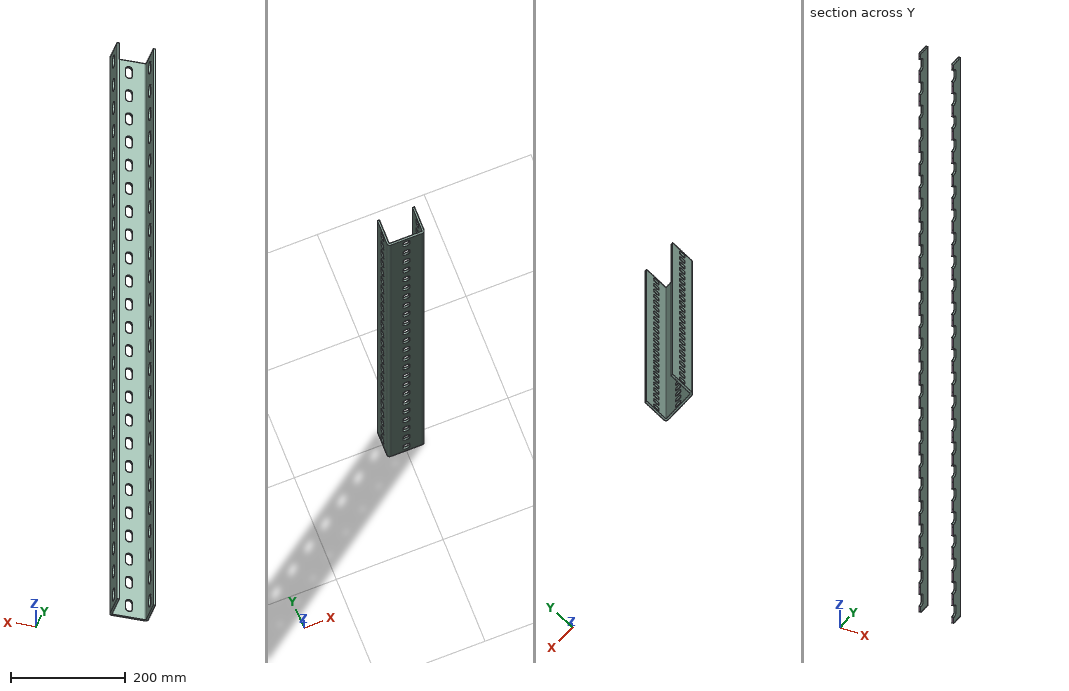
import cadquery as cq

length = 1200
width = 70.0
depth = 50.0
thickness = 4.0
inner_bend_radius = 1.5
outer_bend_radius = inner_bend_radius + thickness

slot_count = 24
slot_pitch = length / slot_count
slot_length = slot_pitch / 2
slot_width = slot_length / 2
flange_slot_y = thickness / 2


def channel():
    """Bent sheet channel, centred on the origin."""
    outer = cq.Workplane("XY").box(width, depth, length).edges("|Z and <Y").fillet(outer_bend_radius)
    inner = (
        cq.Workplane("XY")
        .box(width - 2 * thickness, depth, length)
        .translate((0, thickness, 0))
        .edges("|Z and <Y")
        .fillet(inner_bend_radius)
    )
    return outer.cut(inner)


def slot_row(plane, across, reach):
    """Evenly pitched round-ended slots, upright along Z, extended by reach to both sides of the plane."""
    first_height = (slot_pitch - length) / 2
    centres = [(across, first_height + i * slot_pitch) for i in range(slot_count)]
    return (
        cq.Workplane(plane)
        .pushPoints(centres)
        .slot2D(slot_length, slot_width, 90)
        .extrude(reach, both=True)
    )


web_slots = slot_row("XZ", 0, depth)
flange_slots = slot_row("YZ", flange_slot_y, width)

result = channel().cut(web_slots).cut(flange_slots)